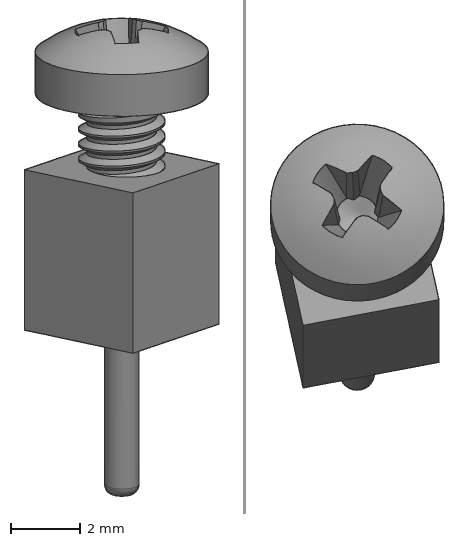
import cadquery as cq
import math

PIN_LENGTH = 5.0
BLOCK_HEIGHT = 4.8
EXPOSED_SHANK = 2.2
HEAD_RIM_HEIGHT = 1.25
DOME_HEIGHT = 0.84
BLOCK_TOP = PIN_LENGTH + BLOCK_HEIGHT
HEAD_BOTTOM = BLOCK_TOP + EXPOSED_SHANK
RIM_TOP = HEAD_BOTTOM + HEAD_RIM_HEIGHT
DOME_TOP = RIM_TOP + DOME_HEIGHT

PIN_DIAMETER = 1.0
PIN_TIP_FILLET = 0.3
BLOCK_WIDTH = 4.0

HEAD_DIAMETER = 5.0
THREAD_RADIUS = 2.5 / 2
THREAD_PITCH = 0.45
THREAD_DEPTH = 0.24
THREAD_FLANK_ANGLE = 30
ROOT_FLAT = THREAD_PITCH / 4
THREAD_TURNS = 5
GROOVE_TOP = 11.55
CUT_MARGIN = 0.01
CYLINDRICAL = 360

RECESS_RADIUS = 1.36
RECESS_FLOOR_RADIUS = 0.6
RECESS_FLOOR_HEIGHT = 0.42
RECESS_FLOOR = HEAD_BOTTOM + RECESS_FLOOR_HEIGHT
RECESS_TIP_DEPTH = 0.31
RECESS_TIP = RECESS_FLOOR - RECESS_TIP_DEPTH
ARM_TIP_RISE = 0.63
RECESS_OPENING = RIM_TOP + ARM_TIP_RISE
CROSS_REACH = 1.68
CROSS_BOTTOM = (0.24, 0.55, 0.25, 0.48)
CROSS_TOP = (0.34, 0.63, 0.4, 0.69)


def make_pin():
    pin = cq.Workplane("XY").circle(PIN_DIAMETER / 2).extrude(PIN_LENGTH)
    return pin.faces("<Z").edges().fillet(PIN_TIP_FILLET)


def make_block():
    block = cq.Workplane("XY").workplane(offset=PIN_LENGTH)
    return block.rect(BLOCK_WIDTH, BLOCK_WIDTH).extrude(BLOCK_HEIGHT)


def make_groove(bottom, turns, cone_angle=CYLINDRICAL):
    """Trapezoidal helical cutter, starting on the -X side at height `bottom`."""
    root_radius = THREAD_RADIUS - THREAD_DEPTH
    outer_radius = THREAD_RADIUS + CUT_MARGIN
    root_half = ROOT_FLAT / 2
    flank_rise = (outer_radius - root_radius) * math.tan(math.radians(THREAD_FLANK_ANGLE))
    outer_half = root_half + flank_rise
    corners = [
        (root_radius, -root_half),
        (outer_radius, -outer_half),
        (outer_radius, outer_half),
        (root_radius, root_half),
    ]
    advance = THREAD_PITCH
    if cone_angle != CYLINDRICAL:
        advance = THREAD_PITCH / math.cos(math.radians(cone_angle))
    rails = [
        cq.Wire.makeHelix(advance, turns * advance, radius, cq.Vector(0, 0, bottom + rise), angle=cone_angle)
        for radius, rise in corners
    ]
    following_rails = rails[1:] + rails[:1]
    faces = []
    for rail, next_rail in zip(rails, following_rails):
        faces += cq.Face.makeRuledSurface(rail, next_rail).Faces()
    for end in (0, 1):
        outline = cq.Wire.makePolygon([rail.positionAt(end) for rail in rails], close=True)
        faces.append(cq.Face.makeFromWires(outline))
    groove = cq.Solid.makeSolid(cq.Shell.makeShell(faces))
    return cq.Workplane(groove.rotate(cq.Vector(0, 0, 0), cq.Vector(0, 0, 1), 180))


def make_shank():
    shank = cq.Workplane("XY").workplane(offset=BLOCK_TOP).circle(THREAD_RADIUS).extrude(EXPOSED_SHANK)
    shank = shank.cut(make_groove(GROOVE_TOP - THREAD_TURNS * THREAD_PITCH, THREAD_TURNS))
    runout_turns = 0.5
    runout_angle = math.degrees(math.atan((THREAD_DEPTH + CUT_MARGIN) / (runout_turns * THREAD_PITCH)))
    return shank.cut(make_groove(GROOVE_TOP, runout_turns, runout_angle))


def cross_points(tip_half_width, shoulder_reach, shoulder_half_width, corner_radius):
    """Outline of four arms; each inner corner has a vertex at `corner_radius` between two shoulders."""
    arm = [
        (shoulder_reach, -shoulder_half_width),
        (CROSS_REACH, -tip_half_width),
        (CROSS_REACH, tip_half_width),
        (shoulder_reach, shoulder_half_width),
        (corner_radius * math.cos(math.pi / 4), corner_radius * math.sin(math.pi / 4)),
    ]
    points = []
    for quarter in range(4):
        turn = math.radians(45 + 90 * quarter)
        for x, y in arm:
            points.append((
                x * math.cos(turn) - y * math.sin(turn),
                x * math.sin(turn) + y * math.cos(turn),
            ))
    return points


def make_recess():
    wall_slope = (RECESS_RADIUS - RECESS_FLOOR_RADIUS) / (RECESS_OPENING - RECESS_FLOOR)
    top_radius = RECESS_FLOOR_RADIUS + wall_slope * (DOME_TOP - RECESS_FLOOR)
    cone = (
        cq.Workplane("XZ")
        .moveTo(0, RECESS_TIP)
        .lineTo(RECESS_FLOOR_RADIUS, RECESS_FLOOR)
        .lineTo(top_radius, DOME_TOP)
        .lineTo(0, DOME_TOP)
        .close()
        .revolve()
    )
    cross = (
        cq.Workplane("XY")
        .workplane(offset=RECESS_TIP)
        .polyline(cross_points(*CROSS_BOTTOM))
        .close()
        .workplane(offset=DOME_TOP - RECESS_TIP)
        .polyline(cross_points(*CROSS_TOP))
        .close()
        .loft(ruled=True)
    )
    return cone.intersect(cross)


def make_screw():
    rim_radius = HEAD_DIAMETER / 2
    dome_radius = (rim_radius**2 + DOME_HEIGHT**2) / (2 * DOME_HEIGHT)
    half_chord = rim_radius / 2
    half_chord_height = DOME_TOP - dome_radius + math.sqrt(dome_radius**2 - half_chord**2)
    head = (
        cq.Workplane("XZ")
        .moveTo(0, HEAD_BOTTOM)
        .lineTo(rim_radius, HEAD_BOTTOM)
        .lineTo(rim_radius, RIM_TOP)
        .threePointArc((half_chord, half_chord_height), (0, DOME_TOP))
        .close()
        .revolve()
    )
    return head.cut(make_recess()).union(make_shank())


pin = make_pin()
block = make_block()
screw = make_screw()
result = cq.Compound.makeCompound([pin.val(), block.val(), screw.val()])